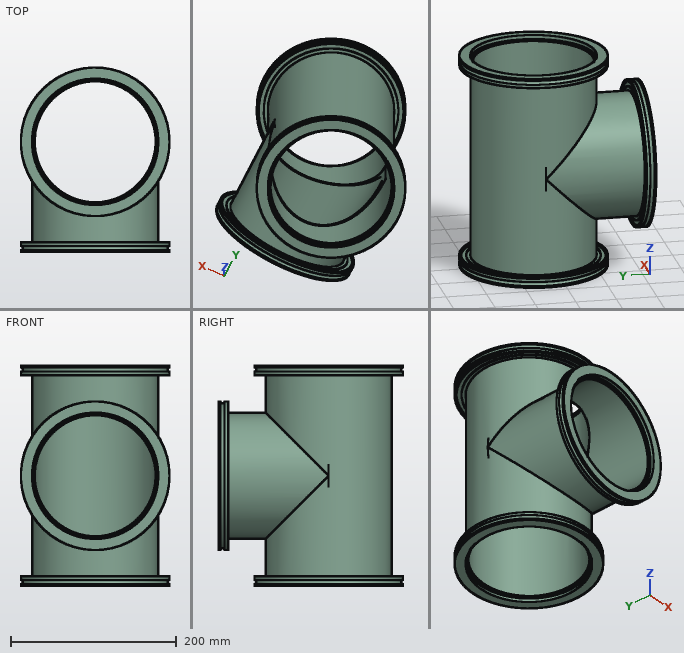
import cadquery as cq

RUN_HALF_LENGTH = 133.3
BRANCH_LENGTH = 133.3

TUBE_OUTER_RADIUS = 152.5 / 2
TUBE_BORE_RADIUS = 146.0 / 2

FLANGE_THICKNESS = 12.0
FLANGE_RADIUS = 180.0 / 2
FLANGE_BORE_RADIUS = 148.2 / 2
RECESS_RADIUS = 153.0 / 2
RECESS_DEPTH = 5.0
LEDGE_THICKNESS = 1.5
CLAMP_GROOVE_RADIUS = 175.0 / 2
FRONT_LAND = 2.5
BACK_GROOVE_INNER_RADIUS = 163.0 / 2
BACK_GROOVE_OUTER_RADIUS = 175.0 / 2
BACK_GROOVE_DEPTH = 1.0
RIM_CHAMFER = 0.3

GROOVE_ARC_RADIUS = FLANGE_RADIUS - CLAMP_GROOVE_RADIUS
SOCKET_RADIUS = RECESS_RADIUS
TUBE_END_INSET = RECESS_DEPTH + LEDGE_THICKNESS
RUN_TUBE_HALF_LENGTH = RUN_HALF_LENGTH - TUBE_END_INSET
BRANCH_TUBE_LENGTH = BRANCH_LENGTH - TUBE_END_INSET


def make_flange():
    """Flange around Z with its sealing face at z = 0 and its body below."""
    groove_top = -FRONT_LAND
    groove_middle = groove_top - GROOVE_ARC_RADIUS
    groove_bottom = groove_middle - GROOVE_ARC_RADIUS
    back_groove_floor = BACK_GROOVE_DEPTH - FLANGE_THICKNESS
    return (
        cq.Workplane("XZ")
        .moveTo(RECESS_RADIUS, 0)
        .lineTo(FLANGE_RADIUS - RIM_CHAMFER, 0)
        .lineTo(FLANGE_RADIUS, -RIM_CHAMFER)
        .lineTo(FLANGE_RADIUS, groove_top)
        .threePointArc((CLAMP_GROOVE_RADIUS, groove_middle), (FLANGE_RADIUS, groove_bottom))
        .lineTo(FLANGE_RADIUS, RIM_CHAMFER - FLANGE_THICKNESS)
        .lineTo(FLANGE_RADIUS - RIM_CHAMFER, -FLANGE_THICKNESS)
        .lineTo(BACK_GROOVE_OUTER_RADIUS, -FLANGE_THICKNESS)
        .lineTo(BACK_GROOVE_OUTER_RADIUS, back_groove_floor)
        .lineTo(BACK_GROOVE_INNER_RADIUS, back_groove_floor)
        .lineTo(BACK_GROOVE_INNER_RADIUS, -FLANGE_THICKNESS)
        .lineTo(SOCKET_RADIUS, -FLANGE_THICKNESS)
        .lineTo(SOCKET_RADIUS, -TUBE_END_INSET)
        .lineTo(FLANGE_BORE_RADIUS, -TUBE_END_INSET)
        .lineTo(FLANGE_BORE_RADIUS, -RECESS_DEPTH)
        .lineTo(RECESS_RADIUS, -RECESS_DEPTH)
        .close()
        .revolve(360, (0, 0, 0), (0, 1, 0))
    )


def run_cylinder(radius):
    """Solid cylinder along the whole run tube."""
    return (
        cq.Workplane("XY")
        .workplane(offset=-RUN_TUBE_HALF_LENGTH)
        .circle(radius)
        .extrude(2 * RUN_TUBE_HALF_LENGTH)
    )


def branch_cylinder(radius):
    """Solid cylinder from the run axis to the end of the branch tube."""
    return cq.Workplane("XZ").circle(radius).extrude(BRANCH_TUBE_LENGTH)


def make_run_tube():
    """Straight tube with a mitred notch that receives the branch tube."""
    wall = run_cylinder(TUBE_OUTER_RADIUS).cut(run_cylinder(TUBE_BORE_RADIUS))
    return wall.cut(branch_cylinder(TUBE_OUTER_RADIUS))


def make_branch_tube():
    """Branch tube whose pointed end fits the notch of the run tube."""
    wall = branch_cylinder(TUBE_OUTER_RADIUS).cut(branch_cylinder(TUBE_BORE_RADIUS))
    return wall.cut(run_cylinder(TUBE_BORE_RADIUS))


FLANGE_PLACES = [
    (0, (0, 0, RUN_HALF_LENGTH)),
    (180, (0, 0, -RUN_HALF_LENGTH)),
    (90, (0, -BRANCH_LENGTH, 0)),
]
flanges = []
for turn, face_centre in FLANGE_PLACES:
    flange = make_flange().rotate((0, 0, 0), (1, 0, 0), turn).translate(face_centre)
    flanges.append(flange.val())

run_tube = make_run_tube()
branch_tube = make_branch_tube()

result = cq.Compound.makeCompound([run_tube.val(), branch_tube.val(), *flanges])